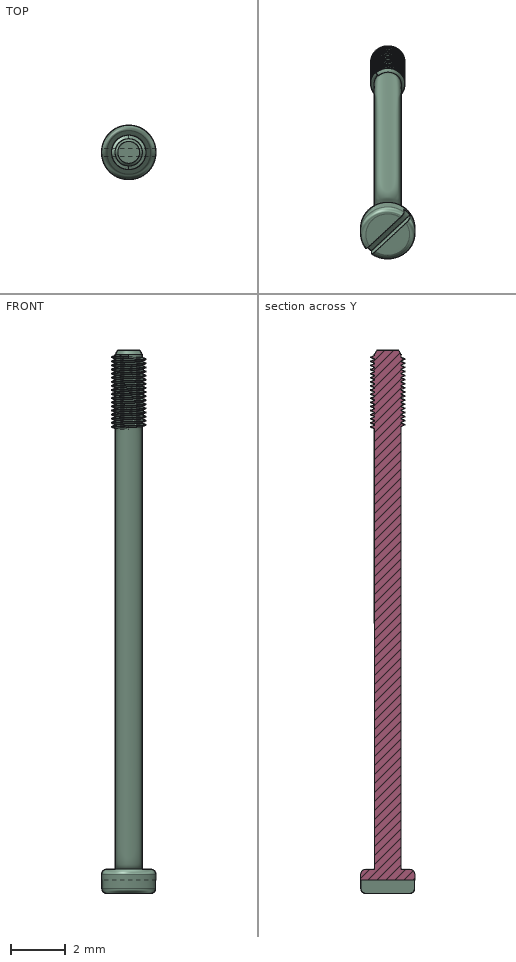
import cadquery as cq

total_length = 19.9
head_diameter = 2.0
head_height = 0.9
head_edge_radius = 0.2
shank_diameter = 1.0

slot_width = 0.3
slot_depth = 0.5

tip_flat_diameter = 0.8
tip_bevel_height = 0.17

thread_pitch = 0.15
thread_turns = 17.5
thread_major_diameter = 1.26
thread_start_z = 17.05
thread_start_angle = 90
ridge_base_width = 0.14
ridge_crest_width = 0.02
ridge_embed = 0.01


def make_head():
    head = cq.Workplane("XY").circle(head_diameter / 2).extrude(head_height)
    head = head.edges("%CIRCLE").fillet(head_edge_radius)
    slot = cq.Workplane("XY").box(
        head_diameter, slot_width, slot_depth, centered=(True, True, False)
    )
    return head.cut(slot)


def make_shank():
    shank_radius = shank_diameter / 2
    shank_bottom = head_height - head_edge_radius
    return (
        cq.Workplane("XZ")
        .moveTo(0, shank_bottom)
        .lineTo(shank_radius, shank_bottom)
        .lineTo(shank_radius, total_length - tip_bevel_height)
        .lineTo(tip_flat_diameter / 2, total_length)
        .lineTo(0, total_length)
        .close()
        .revolve(360, (0, 0, 0), (0, 1, 0))
    )


def ridge_corner_helix(radius, height):
    thread_length = thread_turns * thread_pitch
    return cq.Wire.makeHelix(thread_pitch, thread_length, radius, cq.Vector(0, 0, height))


def flat_cap(points):
    return cq.Face.makeFromWires(cq.Wire.makePolygon(points, close=True))


def make_thread_ridge():
    base_radius = shank_diameter / 2 - ridge_embed
    crest_radius = thread_major_diameter / 2
    corners = [
        ridge_corner_helix(base_radius, -ridge_base_width / 2),
        ridge_corner_helix(crest_radius, -ridge_crest_width / 2),
        ridge_corner_helix(crest_radius, ridge_crest_width / 2),
        ridge_corner_helix(base_radius, ridge_base_width / 2),
    ]
    next_corners = corners[1:] + corners[:1]
    sides = [cq.Face.makeRuledSurface(one, other) for one, other in zip(corners, next_corners)]
    start_cap = flat_cap([corner.startPoint() for corner in corners])
    end_cap = flat_cap([corner.endPoint() for corner in corners])
    ridge = cq.Solid.makeSolid(cq.Shell.makeShell(sides + [start_cap, end_cap]))
    axis_start, axis_end = (0, 0, 0), (0, 0, 1)
    ridge = ridge.rotate(axis_start, axis_end, thread_start_angle)
    return cq.Workplane(ridge.translate(cq.Vector(0, 0, thread_start_z)))


result = make_head().union(make_shank()).union(make_thread_ridge())